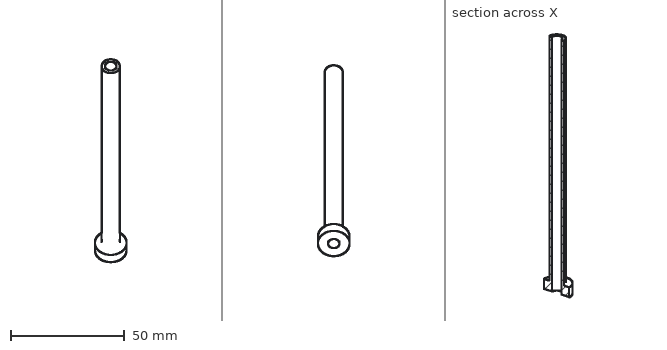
import cadquery as cq

total_length = 125.0
head_diameter = 14.0
head_height = 5.0
tube_diameter = 8.0
bore_diameter = 5.0
neck_fillet_radius = 0.5

head_radius = head_diameter / 2
tube_radius = tube_diameter / 2
bore_radius = bore_diameter / 2

half_section = (
    cq.Workplane("XZ")
    .moveTo(bore_radius, 0)
    .lineTo(head_radius, 0)
    .lineTo(head_radius, head_height)
    .lineTo(tube_radius + neck_fillet_radius, head_height)
    .radiusArc((tube_radius, head_height + neck_fillet_radius), neck_fillet_radius)
    .lineTo(tube_radius, total_length)
    .lineTo(bore_radius, total_length)
    .close()
)

result = half_section.revolve(360, (0, 0, 0), (0, 1, 0))